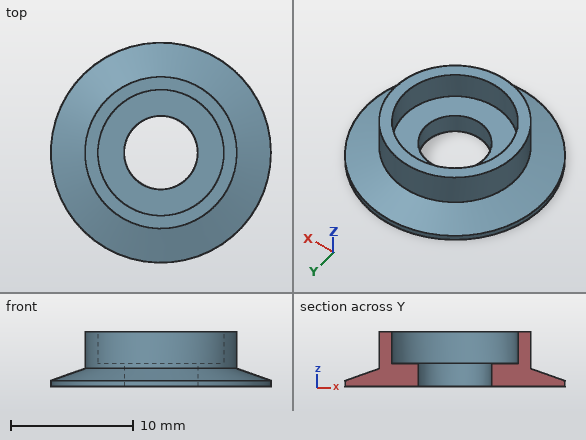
import cadquery as cq

flange_diameter = 18.0
collar_diameter = 12.4
bore_diameter = 10.3
hole_diameter = 6.0
total_height = 4.5
rim_height = 0.5
cone_top_height = 1.5
bore_depth = 2.6

flange_radius = flange_diameter / 2
collar_radius = collar_diameter / 2
bore_radius = bore_diameter / 2
hole_radius = hole_diameter / 2
floor_height = total_height - bore_depth

half_section = (
    cq.Workplane("XZ")
    .moveTo(hole_radius, 0)
    .lineTo(flange_radius, 0)
    .lineTo(flange_radius, rim_height)
    .lineTo(collar_radius, cone_top_height)
    .lineTo(collar_radius, total_height)
    .lineTo(bore_radius, total_height)
    .lineTo(bore_radius, floor_height)
    .lineTo(hole_radius, floor_height)
    .close()
)

result = half_section.revolve(360, (0, 0, 0), (0, 1, 0))